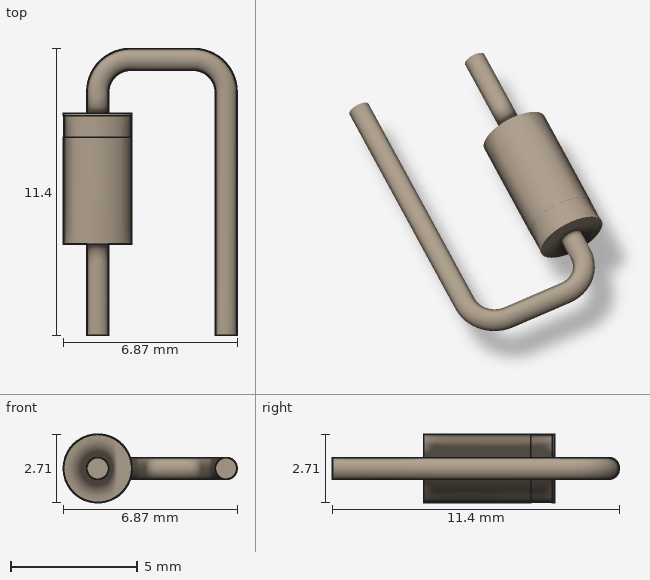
import cadquery as cq

total_length = 11.35

wire_diameter = 0.86
wire_radius = wire_diameter / 2
lead_spacing = 5.08
bend_radius = 1.29

body_diameter = 2.71
body_start = 3.61
body_length = 4.23

band_diameter = 2.69
band_length = 0.85
rim_length = 0.1

body_end = body_start + body_length
band_end = body_end + band_length
crossbar_y = total_length - wire_radius
bend_start_y = crossbar_y - bend_radius


def cylinder_along_y(diameter, start, length):
    """Cylinder on the body axis running towards +Y from the given start."""
    end_plane = cq.Workplane("XZ", origin=(0, start, 0))
    return end_plane.circle(diameter / 2).extrude(-length)


def make_lead():
    """Round wire that runs through the body and folds back beside it."""
    path = (
        cq.Workplane("XY")
        .moveTo(0, 0)
        .lineTo(0, bend_start_y)
        .tangentArcPoint((bend_radius, bend_radius))
        .lineTo(lead_spacing - bend_radius, crossbar_y)
        .tangentArcPoint((bend_radius, -bend_radius))
        .lineTo(lead_spacing, 0)
    )
    return cq.Workplane("XZ").circle(wire_radius).sweep(path)


def make_body():
    """Main cylinder, marking band and end rim."""
    main = cylinder_along_y(body_diameter, body_start, body_length)
    band = cylinder_along_y(band_diameter, body_end, band_length)
    rim = cylinder_along_y(body_diameter, band_end, rim_length)
    return main.union(band).union(rim)


result = make_body().union(make_lead())